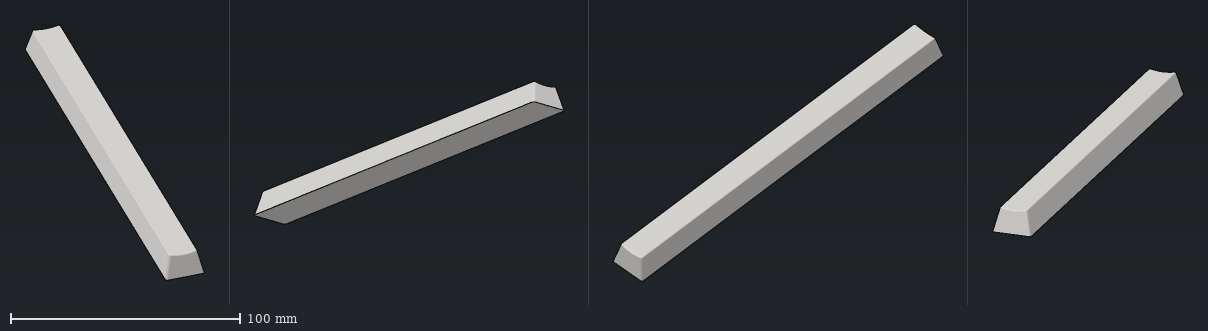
import cadquery as cq
import math

length = 189.8
width = 18.2
height = 11.2

wall_inset = 2.7
lean_angle = math.atan(wall_inset / height)

trough_depth = 1.0
half_trough = width / 2 - wall_inset
trough_radius = (half_trough**2 + trough_depth**2) / (2 * trough_depth)
rim_slope = math.asin(half_trough / trough_radius)

corner_radius = 1.1
rim_radius = 0.8

rim_center_drop = rim_radius * (math.sin(rim_slope) + math.cos(lean_angle)) / math.cos(rim_slope - lean_angle)
sharp_height = height + rim_center_drop - rim_radius


def tapered_body():
    """Solid block with four leaning walls and rounded corner edges."""
    block = (
        cq.Workplane("XY")
        .rect(length, width)
        .extrude(sharp_height, taper=math.degrees(lean_angle))
    )
    return block.edges("not(#Z)").fillet(corner_radius)


def trough_cutter():
    """Cylinder along X whose lowest part scoops out the top."""
    axis_height = sharp_height - trough_depth + trough_radius
    return (
        cq.Workplane("YZ")
        .center(0, axis_height)
        .circle(trough_radius)
        .extrude(length / 2, both=True)
    )


scooped = tapered_body().cut(trough_cutter())

result = scooped.faces("%CYLINDER").faces(">Z").edges().fillet(rim_radius)